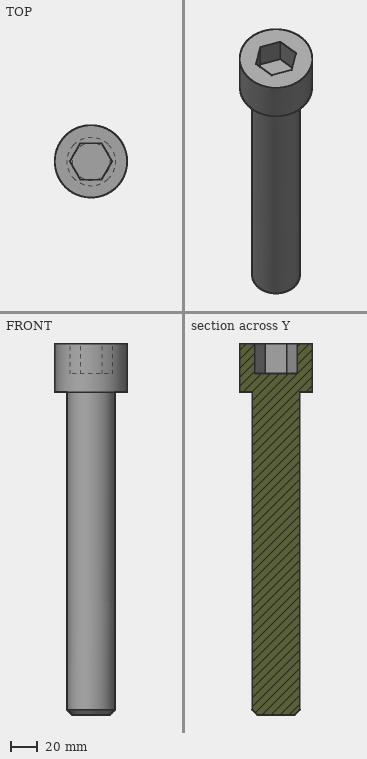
import cadquery as cq
import math

shank_diameter = 36.0
shank_length = 240.0
thread_length = 84.0
tip_chamfer = 4.0

head_diameter = 54.0
head_height = shank_diameter

socket_across_flats = 27.17
socket_sides = 6
socket_across_corners = socket_across_flats / math.cos(math.pi / socket_sides)
socket_depth = 22.0


def make_head():
    return cq.Workplane("XY").circle(head_diameter / 2).extrude(head_height)


def make_plain_shank():
    plain_length = shank_length - thread_length
    return cq.Workplane("XY").circle(shank_diameter / 2).extrude(-plain_length)


def make_threaded_end():
    """Thread as a plain cylinder at its outer diameter, chamfered at the tip."""
    return (
        cq.Workplane("XY")
        .workplane(offset=-shank_length)
        .circle(shank_diameter / 2)
        .extrude(thread_length)
        .faces("<Z")
        .chamfer(tip_chamfer)
    )


def make_socket():
    """Hexagonal key socket with two corners on the X axis."""
    return (
        cq.Workplane("XY")
        .workplane(offset=head_height - socket_depth)
        .polygon(socket_sides, socket_across_corners)
        .extrude(socket_depth)
    )


shank = make_plain_shank().union(make_threaded_end(), clean=False)
result = make_head().union(shank, clean=False).cut(make_socket(), clean=False)